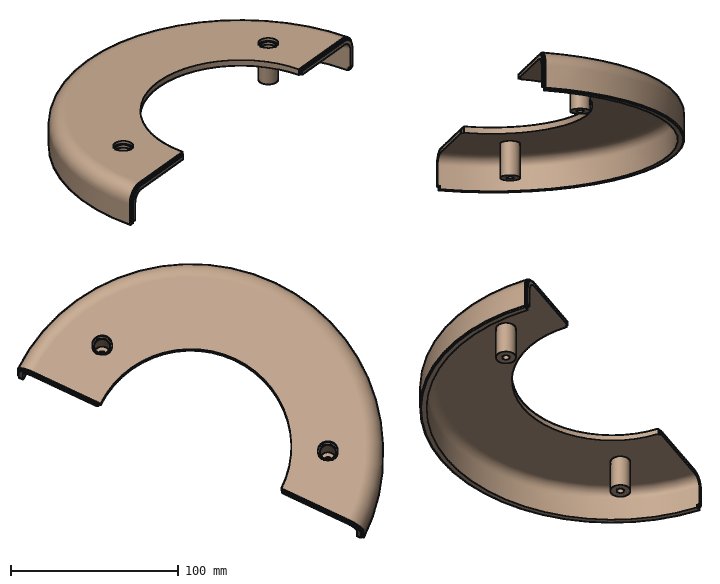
import cadquery as cq

outer_radius = 115.0
bore_radius = 60.0
height = 25.0
wall = 4.0
top_round_radius = 10.0
base_chamfer = 0.75

tongue_length = 1.5
tongue_inset = 1.0
tongue_base_gap = 2.0
tongue_chamfer = 0.5

post_x = -33.0
post_y = 75.0
post_diameter = 12.0
post_overhang = 0.3
post_floor = 3.0
screw_diameter = 4.4
head_diameter = 10.0

rim_diameter = 9.5
recess_diameter = 12.0
recess_depth = 2.0

half_turn = 180.0
ring_axis_start = (0, 0, 0)
ring_axis_end = (0, 1, 0)


def rounded_section(inner, outer, bottom, top, round_radius):
    """Radial section in the cut plane, with its top outer corner rounded."""
    return (
        cq.Workplane("YZ")
        .moveTo(inner, bottom)
        .lineTo(outer, bottom)
        .lineTo(outer, top - round_radius)
        .radiusArc((outer - round_radius, top), -round_radius)
        .lineTo(inner, top)
        .close()
    )


def cavity_section():
    """Section of the hollow, reaching from the ring axis to the inside of the walls."""
    return rounded_section(0, outer_radius - wall, 0, height - wall, top_round_radius - wall)


def half_ring(section):
    """Turn a section on the +Y side through the -X half to the -Y side."""
    return section.revolve(half_turn, ring_axis_start, ring_axis_end)


def make_shell():
    body = half_ring(rounded_section(bore_radius, outer_radius, 0, height, top_round_radius))
    outer_base_edge = cq.selectors.RadiusNthSelector(-1)
    body = body.faces("<Z").edges(outer_base_edge).chamfer(base_chamfer)
    return body.cut(half_ring(cavity_section()))


def make_tongue():
    """Tongue along the top plate and outer wall at the +Y cut end."""
    outside = rounded_section(
        bore_radius + tongue_inset,
        outer_radius - tongue_inset,
        tongue_base_gap,
        height - tongue_inset,
        top_round_radius - tongue_inset,
    ).extrude(tongue_length)
    outside = outside.faces(">X").edges().chamfer(tongue_chamfer)
    return outside.cut(cavity_section().extrude(tongue_length))


def post_cylinder(y, diameter, bottom, top):
    """Upright cylinder on a post axis, between two levels."""
    return (
        cq.Workplane("XY", origin=(post_x, y, bottom))
        .circle(diameter / 2)
        .extrude(top - bottom)
    )


def add_screw_post(body, y):
    """Add a post and open it: screw hole, head bore, rim through the plate and recess."""
    plate_underside = height - wall
    post = post_cylinder(y, post_diameter, -post_overhang, plate_underside)
    screw_hole = post_cylinder(y, screw_diameter, -post_overhang, post_floor)
    head_bore = post_cylinder(y, head_diameter, post_floor, plate_underside)
    rim = post_cylinder(y, rim_diameter, plate_underside, height)
    recess = post_cylinder(y, recess_diameter, height - recess_depth, height)
    return body.union(post).cut(screw_hole).cut(head_bore).cut(rim).cut(recess)


tongue = make_tongue()
result = make_shell().union(tongue).union(tongue.mirror("XZ"))
for side in (-1, 1):
    result = add_screw_post(result, side * post_y)